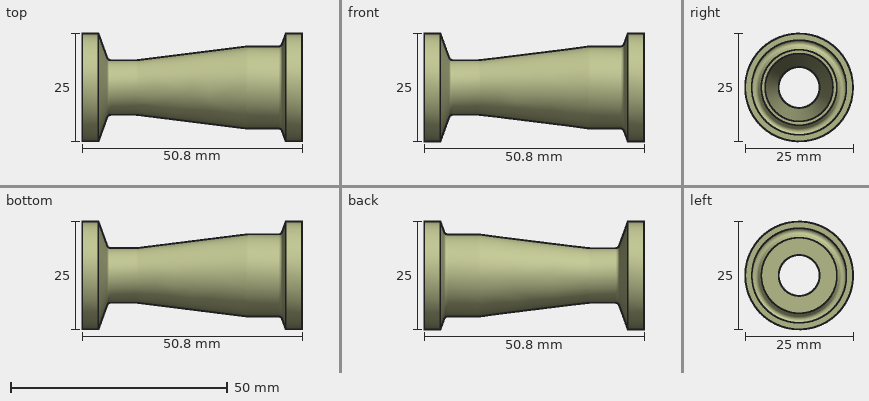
import cadquery as cq
import math

length = 50.8
flange_radius = 25.0 / 2
rim_width = 3.75
flange_back_angle = 20.0

narrow_radius = 12.7 / 2
narrow_bore_radius = 9.4 / 2
wide_radius = 19.05 / 2
wide_bore_radius = 15.7 / 2
taper_start = 12.7
taper_end = length - taper_start

flange_fillet = 0.7
taper_fillet = 2.8

seat_recess = 0.8
seat_radius = 8.75
groove_wall_radius = 21.9 / 2
groove_arc_radius = 0.8
groove_arc_depth = 1.35
groove_foot_radius = 19.05 / 2


def flange_back_foot(tube_radius):
    """Distance from an end face to where the flange back meets the tube."""
    return rim_width + (flange_radius - tube_radius) * math.tan(math.radians(flange_back_angle))


def revolve_about_x(profile):
    """Close the half outline and turn it a full circle about the X axis."""
    return profile.close().revolve(360, (0, 0, 0), (1, 0, 0))


def make_solid_body():
    narrow_foot = flange_back_foot(narrow_radius)
    wide_foot = length - flange_back_foot(wide_radius)
    profile = (
        cq.Workplane("XY")
        .moveTo(0, 0)
        .lineTo(0, flange_radius)
        .lineTo(rim_width, flange_radius)
        .lineTo(narrow_foot, narrow_radius)
        .lineTo(taper_start, narrow_radius)
        .lineTo(taper_end, wide_radius)
        .lineTo(wide_foot, wide_radius)
        .lineTo(length - rim_width, flange_radius)
        .lineTo(length, flange_radius)
        .lineTo(length, 0)
    )
    body = revolve_about_x(profile)
    for junction_x, fillet in (
        (narrow_foot, flange_fillet),
        (taper_start, taper_fillet),
        (taper_end, taper_fillet),
        (wide_foot, flange_fillet),
    ):
        junction = cq.selectors.NearestToPointSelector((junction_x, 0, 0))
        body = body.edges(junction).fillet(fillet)
    return body


def make_bore():
    profile = (
        cq.Workplane("XY")
        .moveTo(0, 0)
        .lineTo(0, narrow_bore_radius)
        .lineTo(taper_start, narrow_bore_radius)
        .lineTo(taper_end, wide_bore_radius)
        .lineTo(length, wide_bore_radius)
        .lineTo(length, 0)
    )
    return revolve_about_x(profile)


def make_gasket_seat():
    """Material removed from the end face at x = 0."""
    arc_center_radius = groove_wall_radius - groove_arc_radius
    foot_offset = arc_center_radius - groove_foot_radius
    foot_depth = groove_arc_depth + math.sqrt(groove_arc_radius**2 - foot_offset**2)
    profile = (
        cq.Workplane("XY")
        .moveTo(0, 0)
        .lineTo(seat_recess, 0)
        .lineTo(seat_recess, seat_radius)
        .lineTo(foot_depth, groove_foot_radius)
        .threePointArc(
            (groove_arc_depth + groove_arc_radius, arc_center_radius),
            (groove_arc_depth, groove_wall_radius),
        )
        .lineTo(0, groove_wall_radius)
    )
    return revolve_about_x(profile)


narrow_seat = make_gasket_seat()
wide_seat = narrow_seat.mirror("YZ").translate((length, 0, 0))
result = make_solid_body().cut(make_bore()).cut(narrow_seat).cut(wide_seat)